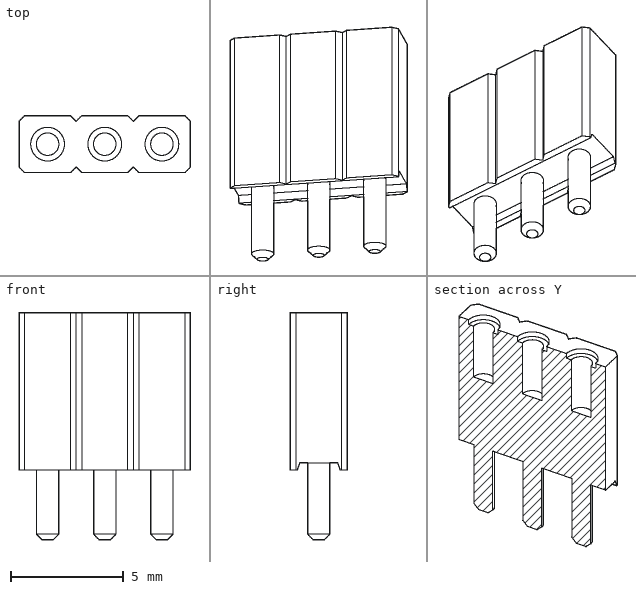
import cadquery as cq

pitch = 2.54
position_count = 3
housing_height = 7.0
corner_chamfer = 0.25
length = pitch * position_count
width = pitch

channel_depth = 0.32
channel_mouth_width = 1.9
channel_roof_width = 1.67

pin_diameter = 1.0
pin_length = 3.1
pin_tip_chamfer = 0.25
socket_diameter = 1.0
socket_depth = 3.0
recess_diameter = 1.5
recess_depth = 0.25

pin_positions = [((i - (position_count - 1) / 2) * pitch, 0) for i in range(position_count)]


def make_cell(position):
    """One chamfered housing block; neighbouring chamfers form the V grooves."""
    return (
        cq.Workplane("XY")
        .center(*position)
        .rect(pitch, width)
        .extrude(housing_height)
        .edges("|Z")
        .chamfer(corner_chamfer)
    )


def make_channel():
    """Tapered channel running the full length of the underside."""
    return (
        cq.Workplane("YZ")
        .polyline([
            (-channel_mouth_width / 2, 0),
            (channel_mouth_width / 2, 0),
            (channel_roof_width / 2, channel_depth),
            (-channel_roof_width / 2, channel_depth),
        ])
        .close()
        .extrude(length / 2, both=True)
    )


def make_pins():
    """Solder pins with chamfered tips, rooted in the channel roof."""
    return (
        cq.Workplane("XY", origin=(0, 0, -pin_length))
        .pushPoints(pin_positions)
        .circle(pin_diameter / 2)
        .extrude(pin_length + channel_depth)
        .faces("<Z")
        .chamfer(pin_tip_chamfer)
    )


def make_top_holes(diameter, depth):
    """Blind holes sunk from the top face, one per contact."""
    return (
        cq.Workplane("XY", origin=(0, 0, housing_height))
        .pushPoints(pin_positions)
        .circle(diameter / 2)
        .extrude(-depth)
    )


housing = make_cell(pin_positions[0])
for position in pin_positions[1:]:
    housing = housing.union(make_cell(position))

result = (
    housing
    .cut(make_channel())
    .union(make_pins())
    .cut(make_top_holes(recess_diameter, recess_depth))
    .cut(make_top_holes(socket_diameter, socket_depth))
)